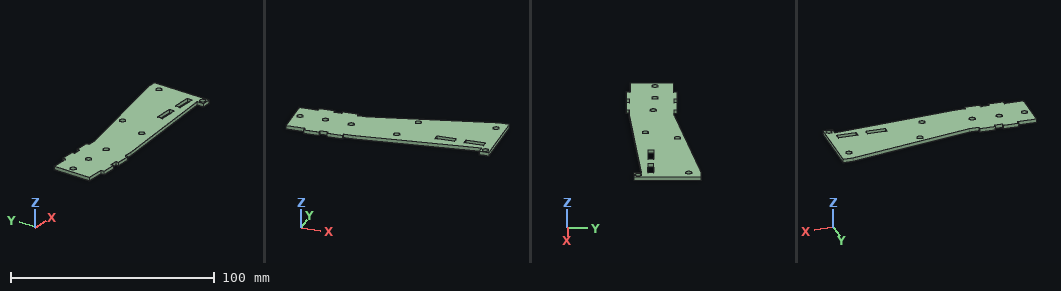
import cadquery as cq

length = 104.0
width = 37.2
thickness = 2.0

tab_span = 25.1
shank_inset = 1.9
notch_depth = 1.6
first_tab_start = 9.8
tab_length = 8.0
tab_gap = 4.1
taper_start = 34.6

end_land = 5.0
foot_bottom = 4.1
lower_taper_end = 7.8

hole_diameter = 3.0
hole_centers = [
    (3.4, 14.1),
    (16.4, 14.1),
    (30.1, 13.3),
    (54.7, 9.6),
    (60.7, 25.4),
    (length - end_land, 31.0),
    (length - end_land / 2, 6.2),
]

slot_length = 10.0
slot_width = 2.8
slot_gap = 5.0
slot_count = 2
slot_center_y = 12.4

first_tab_end = first_tab_start + tab_length
second_tab_start = first_tab_end + tab_gap
second_tab_end = second_tab_start + tab_length
taper_end = length - end_land


def shank_edge(inset_direction, tab_face):
    """Points along one shank side, from the free end to the taper."""
    shank_side = tab_face + inset_direction * shank_inset
    notch_floor = tab_face + inset_direction * notch_depth
    return [
        (0, shank_side),
        (first_tab_start, shank_side),
        (first_tab_start, tab_face),
        (first_tab_end, tab_face),
        (first_tab_end, notch_floor),
        (second_tab_start, notch_floor),
        (second_tab_start, tab_face),
        (second_tab_end, tab_face),
        (second_tab_end, notch_floor),
        (taper_start, notch_floor),
    ]


def plate():
    lower_edge = shank_edge(1, 0)
    wide_end = [
        (taper_end, lower_taper_end),
        (taper_end, foot_bottom),
        (length, foot_bottom),
        (length, width),
        (taper_end, width),
    ]
    upper_edge = shank_edge(-1, tab_span)
    outline = lower_edge + wide_end + upper_edge[::-1]
    return cq.Workplane("XY").polyline(outline).close().extrude(thickness)


def hole_cutters():
    return cq.Workplane("XY").pushPoints(hole_centers).circle(hole_diameter / 2).extrude(thickness)


def slot_cutters():
    last_center_x = taper_end - slot_length / 2
    pitch = slot_length + slot_gap
    centers = [(last_center_x - i * pitch, slot_center_y) for i in range(slot_count)]
    return cq.Workplane("XY").pushPoints(centers).rect(slot_length, slot_width).extrude(thickness)


result = plate().cut(hole_cutters()).cut(slot_cutters())